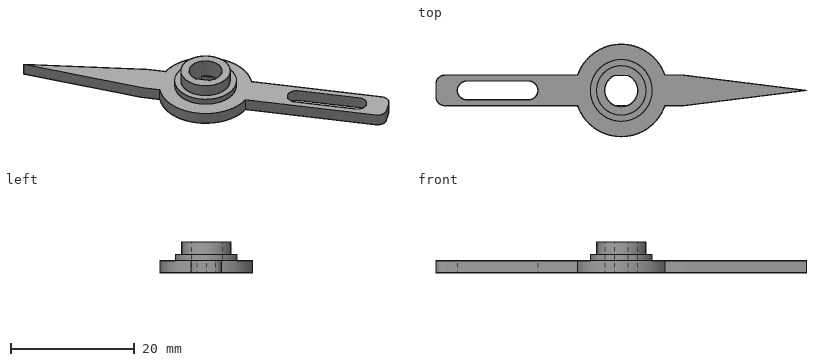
import cadquery as cq

tail_reach = 30.0
tip_reach = 30.0
arm_width = 5.0
taper_start = 10.0
plate_thickness = 2.0
tail_corner_radius = 1.5

slot_length = 13.0
slot_width = 3.0
slot_center_x = -20.0

hub_diameter = 15.0
shoulder_diameter = 10.0
shoulder_height = 1.0
boss_diameter = 8.0
boss_height = 2.0
total_height = plate_thickness + shoulder_height + boss_height

bore_diameter = 5.3
bore_flat_distance = 2.4
lower_flat_height = plate_thickness


def make_pointer():
    """Flat arm with a rounded tail and a sharp tip."""
    half_width = arm_width / 2
    outline = [
        (-tail_reach, -half_width),
        (taper_start, -half_width),
        (tip_reach, 0),
        (taper_start, half_width),
        (-tail_reach, half_width),
    ]
    arm = cq.Workplane("XY").polyline(outline).close().extrude(plate_thickness)
    return arm.edges("|Z and <X").fillet(tail_corner_radius)


def make_disc(diameter, base_z, height):
    """Upright cylinder on the hub axis."""
    return cq.Workplane("XY").workplane(offset=base_z).circle(diameter / 2).extrude(height)


def make_hub():
    """Hub disc with a shoulder and a boss stacked on it."""
    disc = make_disc(hub_diameter, 0, plate_thickness)
    shoulder = make_disc(shoulder_diameter, plate_thickness, shoulder_height)
    boss = make_disc(boss_diameter, plate_thickness + shoulder_height, boss_height)
    return disc.union(shoulder).union(boss)


def make_slot():
    """Cutter for the through slot in the tail."""
    return (
        cq.Workplane("XY")
        .center(slot_center_x, 0)
        .slot2D(slot_length, slot_width)
        .extrude(plate_thickness)
    )


def make_flat_pad(side, height):
    """Block filling the bore beyond a flat; side is +1 for +Y and -1 for -Y."""
    return (
        cq.Workplane("XY")
        .center(0, side * (bore_flat_distance + bore_diameter / 2))
        .rect(bore_diameter, bore_diameter)
        .extrude(height)
    )


def make_bore():
    """Cutter for the through bore: two flats at the bottom, one flat above."""
    round_bore = make_disc(bore_diameter, 0, total_height)
    full_flat = make_flat_pad(1, total_height)
    lower_flat = make_flat_pad(-1, lower_flat_height)
    return round_bore.cut(full_flat).cut(lower_flat)


result = make_pointer().union(make_hub()).cut(make_slot()).cut(make_bore())